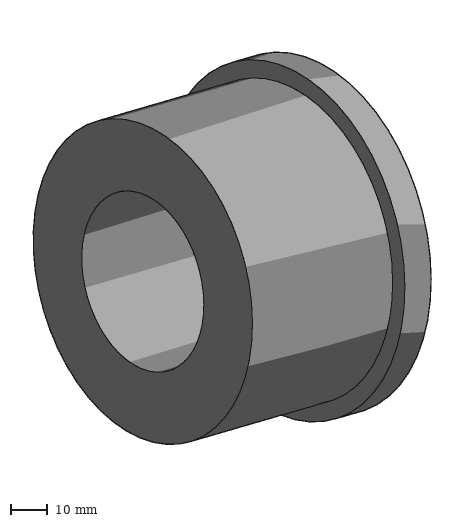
import math

import cadquery as cq

overall_height = 101.7
body_diameter = 91.4
bore_diameter = 50.8
flange_thickness = 9.6
body_length = 50.8
tilt_degrees = 0.32

tilt = math.radians(tilt_degrees)
flange_diameter = (overall_height - flange_thickness * math.sin(tilt)) / math.cos(tilt)
total_length = body_length + flange_thickness


def cylinder_along_y(diameter, length):
    """Cylinder from the origin toward +Y."""
    return cq.Workplane("XZ").circle(diameter / 2).extrude(-length)


body = cylinder_along_y(body_diameter, total_length)
flange = cylinder_along_y(flange_diameter, flange_thickness).translate((0, body_length, 0))
bore = cylinder_along_y(bore_diameter, total_length)

bushing = body.union(flange).cut(bore)
result = bushing.rotate((0, 0, 0), (1, 0, 0), tilt_degrees)